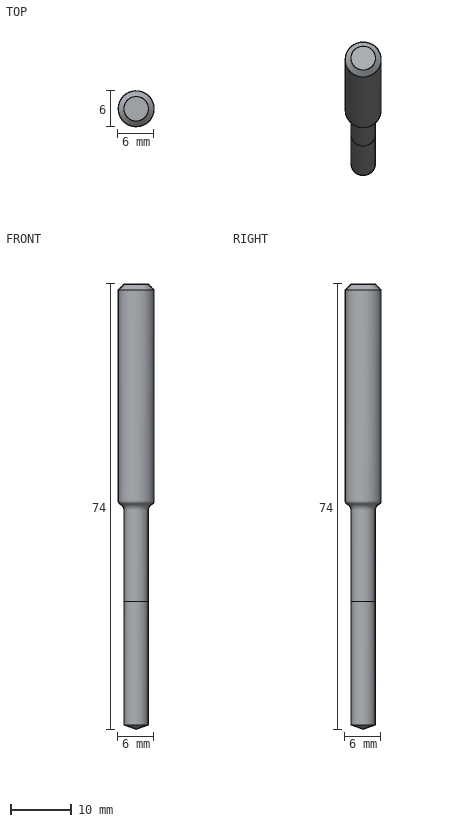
import cadquery as cq

total_length = 74.0
shank_diameter = 6.0
drill_diameter = 4.1
end_chamfer = 0.95
shank_bottom_z = 37.95
neck_top_z = 36.4
cutting_length = 21.25
point_height = 0.75

shank_radius = shank_diameter / 2
drill_radius = drill_diameter / 2

convex_share = 1 / 3
shoulder_inflection = (
    shank_radius - convex_share * (shank_radius - drill_radius),
    shank_bottom_z - convex_share * (shank_bottom_z - neck_top_z),
)


def make_holder():
    """Chamfered shank, curved shoulder and neck, turned about Z."""
    return (
        cq.Workplane("XZ")
        .moveTo(0, total_length)
        .lineTo(shank_radius - end_chamfer, total_length)
        .lineTo(shank_radius, total_length - end_chamfer)
        .lineTo(shank_radius, shank_bottom_z)
        .tangentArcPoint(shoulder_inflection, relative=False)
        .tangentArcPoint((drill_radius, neck_top_z), relative=False)
        .lineTo(drill_radius, cutting_length)
        .lineTo(0, cutting_length)
        .close()
        .revolve(360, (0, 0, 0), (0, 1, 0))
    )


def make_cutting_tip():
    """Cylindrical cutting end with a conical point at the origin."""
    return (
        cq.Workplane("XZ")
        .moveTo(0, 0)
        .lineTo(drill_radius, point_height)
        .lineTo(drill_radius, cutting_length)
        .lineTo(0, cutting_length)
        .close()
        .revolve(360, (0, 0, 0), (0, 1, 0))
    )


holder = make_holder()
cutting_tip = make_cutting_tip()

result = cq.Compound.makeCompound([holder.val(), cutting_tip.val()])